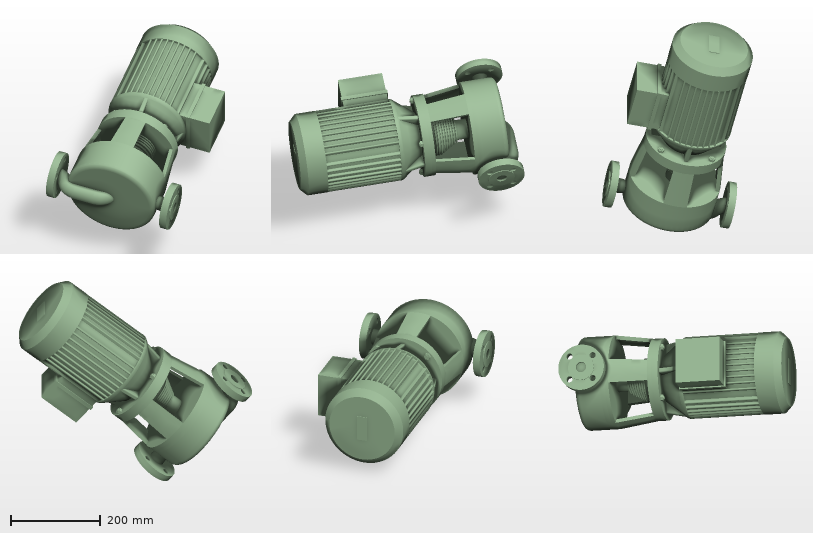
import cadquery as cq
import math


BOSS_TOP = 447.0
CAP_TOP = 445.5
CAP_BOTTOM = 386.0
FRAME_BOTTOM = 218.0
CONE_TOP = 209.0
MOTOR_FLANGE_TOP = 164.0
MOTOR_FLANGE_BOTTOM = 149.5
LANTERN_FLANGE_BOTTOM = 140.0
LANTERN_PLATE_TOP = 53.0
LANTERN_PLATE_BOTTOM = 44.0
COVER_BOTTOM = 33.0
CASING_BOTTOM = -26.0

MOTOR_RADIUS = 92.5
CAP_CHAMFER = 15.0
BOSS_WIDTH = 24.0
BOSS_HEIGHT = 58.0
FRAME_RADIUS = 87.0
FIN_TIP_RADIUS = 92.0
FIN_WIDTH = 4.25
FIN_PITCH = 13.35
FINS_EACH_SIDE = 4
CONE_TOP_RADIUS = 89.5
CONE_BOTTOM_RADIUS = 54.0
RIB_WIDTH = 10.5
RIB_FILLET = 3.0
RIB_BOTTOM_RADIUS = 80.0

BOX_SIZE = 101.0
BOX_SEAT_X = 75.0
BOX_END_X = 148.05
COLLAR_SIZE = 106.5
COLLAR_THICKNESS = 8.5
BOX_CENTRE_Y = FRAME_BOTTOM + BOX_SIZE / 2

BOLT_CIRCLE_RADIUS = 83.0
BOLT_RADIUS = 4.0
NUT_CORNER_DIAMETER = 15.0
NUT_HEIGHT = 6.0
BOLT_TIP_HEIGHT = 8.0

PUMP_RADIUS = 105.1
LEG_THICKNESS = 8.75
LEG_ANGLE = 30.0

NECK_FIN_RADIUS = 50.0
NECK_TAPER_TOP = 118.5
NECK_TAPER_SLOPE = 0.59
NECK_FIN_DEPTH = 5.5
NECK_FIN_PITCH = 6.115
NECK_FIN_THICKNESS = 3.0
NECK_FIN_COUNT = 10
NECK_END_RADIUS = 22.5

CASING_FILLET = 11.0
FLANGE_RADIUS = 52.5
FLANGE_INNER_X = 127.0
FLANGE_OUTER_X = 143.5
RAISED_FACE_X = 144.95
RAISED_FACE_RADIUS = 29.7
BORE_RADIUS = 11.75
BORE_DEPTH = 5.0
FLANGE_HOLE_RADIUS = 7.0
FLANGE_HOLE_CIRCLE_RADIUS = 37.5
NOZZLE_ROOT_RADIUS = 15.5
NOZZLE_FLANGE_RADIUS = 17.7
PIPE_RADIUS = 17.5
PIPE_DROP = 32.0
FLANGE_BEND_RADIUS = 45.0
CASING_BEND_RADIUS = 32.5
PIPE_RUN_END_X = -33.5


def disc(radius, bottom, top):
    """Solid cylinder about the shaft axis between two levels."""
    return cq.Workplane("XZ", origin=(0, top, 0)).circle(radius).extrude(top - bottom)


def turned(profile, angle=360.0):
    """Revolve a closed wire of (radius, level) points about the shaft axis."""
    return profile.close().revolve(angle, (0, 0, 0), (0, 1, 0))


def around_shaft(body, angle):
    return body.rotate((0, 0, 0), (0, 1, 0), angle)


def block(x_start, x_end, y_size, z_size, y_centre):
    """Box between two X positions, centred on y_centre and on Z = 0."""
    shape = cq.Workplane("XY").box(x_end - x_start, y_size, z_size)
    return shape.translate(((x_start + x_end) / 2, y_centre, 0))


def make_fan_cap():
    cap = disc(MOTOR_RADIUS, CAP_BOTTOM, CAP_TOP).faces(">Y").chamfer(CAP_CHAMFER)
    boss_depth = BOSS_TOP - CAP_TOP
    boss = cq.Workplane("XY").box(BOSS_WIDTH, boss_depth, BOSS_HEIGHT)
    return cap.union(boss.translate((0, CAP_TOP + boss_depth / 2, 0)))


def make_fin(offset):
    """Fin pointing to +X at a Z offset, its round tip ending on the fin tip radius."""
    height = CAP_BOTTOM - FRAME_BOTTOM
    tip_centre_x = math.sqrt(FIN_TIP_RADIUS**2 - offset**2) - FIN_WIDTH / 2
    wall = block(0, tip_centre_x, height, FIN_WIDTH, (CAP_BOTTOM + FRAME_BOTTOM) / 2)
    tip = disc(FIN_WIDTH / 2, FRAME_BOTTOM, CAP_BOTTOM).translate((tip_centre_x, 0, 0))
    return wall.union(tip).translate((0, 0, offset))


def make_finned_frame():
    """Barrel with straight parallel fins on its +X, -X, +Z and -Z sides."""
    frame = disc(FRAME_RADIUS, FRAME_BOTTOM, CAP_BOTTOM)
    for index in range(-FINS_EACH_SIDE, FINS_EACH_SIDE + 1):
        fin = make_fin(index * FIN_PITCH)
        for side in range(4):
            frame = frame.union(around_shaft(fin, side * 90))
    return frame


def make_end_shield():
    """Rounded shoulder, cone and mounting flange below the finned frame."""
    drop = FRAME_BOTTOM - CONE_TOP
    cone_angle = math.atan2(CONE_TOP_RADIUS - CONE_BOTTOM_RADIUS, CONE_TOP - MOTOR_FLANGE_TOP)
    shoulder_radius = drop / math.sin(cone_angle)
    shoulder_mid = (
        MOTOR_RADIUS - shoulder_radius * (1 - math.cos(cone_angle / 2)),
        FRAME_BOTTOM - shoulder_radius * math.sin(cone_angle / 2),
    )
    profile = (
        cq.Workplane("XY")
        .moveTo(0, FRAME_BOTTOM)
        .lineTo(MOTOR_RADIUS, FRAME_BOTTOM)
        .threePointArc(shoulder_mid, (CONE_TOP_RADIUS, CONE_TOP))
        .lineTo(CONE_BOTTOM_RADIUS, MOTOR_FLANGE_TOP)
        .lineTo(MOTOR_RADIUS, MOTOR_FLANGE_TOP)
        .lineTo(MOTOR_RADIUS, MOTOR_FLANGE_BOTTOM)
        .lineTo(0, MOTOR_FLANGE_BOTTOM)
    )
    return turned(profile)


def make_shield_rib():
    """Rib standing on the cone on the +X side, with rounded outer edges."""
    rib = (
        cq.Workplane("XY", origin=(0, 0, -RIB_WIDTH / 2))
        .moveTo(0, CONE_TOP)
        .lineTo(CONE_TOP_RADIUS, CONE_TOP)
        .lineTo(RIB_BOTTOM_RADIUS, MOTOR_FLANGE_TOP)
        .lineTo(0, MOTOR_FLANGE_TOP)
        .close()
        .extrude(RIB_WIDTH)
    )
    slanted_edges = cq.selectors.BoxSelector(
        (RIB_BOTTOM_RADIUS, MOTOR_FLANGE_TOP, -RIB_WIDTH), (CONE_TOP_RADIUS, CONE_TOP, RIB_WIDTH)
    )
    return rib.edges(slanted_edges).edges("not |Z").fillet(RIB_FILLET)


def make_motor(terminal_box, bolts):
    motor = make_finned_frame().union(make_end_shield())
    rib = make_shield_rib()
    for side in range(4):
        motor = motor.union(around_shaft(rib, side * 90))
    motor = motor.cut(terminal_box)
    for bolt in bolts:
        motor = motor.cut(bolt)
    return motor


def make_terminal_box():
    box = block(BOX_SEAT_X, BOX_END_X, BOX_SIZE, BOX_SIZE, BOX_CENTRE_Y)
    collar_end = MOTOR_RADIUS + COLLAR_THICKNESS
    collar = block(MOTOR_RADIUS, collar_end, COLLAR_SIZE, COLLAR_SIZE, BOX_CENTRE_Y)
    return box.union(collar)


def make_bolt(angle):
    """Stud through the motor flange with a hexagonal nut on top."""
    stud = disc(BOLT_RADIUS, MOTOR_FLANGE_BOTTOM, MOTOR_FLANGE_TOP + BOLT_TIP_HEIGHT)
    nut = (
        cq.Workplane("XZ", origin=(0, MOTOR_FLANGE_TOP + NUT_HEIGHT, 0))
        .polygon(6, NUT_CORNER_DIAMETER)
        .extrude(NUT_HEIGHT)
    )
    x = BOLT_CIRCLE_RADIUS * math.cos(math.radians(angle))
    z = BOLT_CIRCLE_RADIUS * math.sin(math.radians(angle))
    return stud.union(nut).translate((x, 0, z))


def make_lantern_leg():
    """Slanted strip of a cone wall, centred on the +X side."""
    profile = (
        cq.Workplane("XY")
        .moveTo(MOTOR_RADIUS, LANTERN_FLANGE_BOTTOM)
        .lineTo(PUMP_RADIUS, LANTERN_PLATE_TOP)
        .lineTo(PUMP_RADIUS - LEG_THICKNESS, LANTERN_PLATE_TOP)
        .lineTo(MOTOR_RADIUS - LEG_THICKNESS, LANTERN_FLANGE_BOTTOM)
    )
    return around_shaft(turned(profile, LEG_ANGLE), -LEG_ANGLE / 2)


def make_lantern():
    lantern = disc(MOTOR_RADIUS, LANTERN_FLANGE_BOTTOM, MOTOR_FLANGE_BOTTOM)
    plate = disc(PUMP_RADIUS, LANTERN_PLATE_BOTTOM, LANTERN_PLATE_TOP)
    neck_hole = disc(NECK_END_RADIUS, LANTERN_PLATE_BOTTOM, LANTERN_PLATE_TOP)
    lantern = lantern.union(plate.cut(neck_hole))
    leg = make_lantern_leg()
    for side in range(4):
        lantern = lantern.union(around_shaft(leg, side * 90))
    return lantern


def neck_outer_radius(level):
    """Outer radius of the neck fins: straight at the top, tapering below."""
    return NECK_FIN_RADIUS - NECK_TAPER_SLOPE * max(0, NECK_TAPER_TOP - level)


def make_cover():
    """Pump cover plate whose finned neck reaches up to the lantern flange."""
    core_radius = NECK_FIN_RADIUS - NECK_FIN_DEPTH
    taper_bottom = NECK_TAPER_TOP - (core_radius - NECK_END_RADIUS) / NECK_TAPER_SLOPE
    profile = (
        cq.Workplane("XY")
        .moveTo(0, LANTERN_FLANGE_BOTTOM)
        .lineTo(core_radius, LANTERN_FLANGE_BOTTOM)
        .lineTo(core_radius, NECK_TAPER_TOP)
        .lineTo(NECK_END_RADIUS, taper_bottom)
        .lineTo(NECK_END_RADIUS, LANTERN_PLATE_BOTTOM)
        .lineTo(PUMP_RADIUS, LANTERN_PLATE_BOTTOM)
        .lineTo(PUMP_RADIUS, COVER_BOTTOM)
        .lineTo(0, COVER_BOTTOM)
    )
    cover = turned(profile)
    for index in range(NECK_FIN_COUNT):
        fin_top = LANTERN_FLANGE_BOTTOM - NECK_FIN_THICKNESS - index * NECK_FIN_PITCH
        fin_bottom = fin_top - NECK_FIN_THICKNESS
        fin = (
            cq.Workplane("XY")
            .moveTo(0, fin_top)
            .lineTo(neck_outer_radius(fin_top), fin_top)
            .lineTo(neck_outer_radius(fin_bottom), fin_bottom)
            .lineTo(0, fin_bottom)
        )
        cover = cover.union(turned(fin))
    return cover


def make_pipe_flange():
    """Flange facing +X, with a raised face and four bolt holes."""
    flange = (
        cq.Workplane("YZ", origin=(FLANGE_INNER_X, 0, 0))
        .circle(FLANGE_RADIUS)
        .extrude(FLANGE_OUTER_X - FLANGE_INNER_X)
    )
    raised_face = (
        cq.Workplane("YZ", origin=(FLANGE_INNER_X, 0, 0))
        .circle(RAISED_FACE_RADIUS)
        .extrude(RAISED_FACE_X - FLANGE_INNER_X)
    )
    holes = (
        cq.Workplane("YZ", origin=(FLANGE_INNER_X, 0, 0))
        .polarArray(FLANGE_HOLE_CIRCLE_RADIUS, 45, 360, 4)
        .circle(FLANGE_HOLE_RADIUS)
        .extrude(FLANGE_OUTER_X - FLANGE_INNER_X)
    )
    return flange.union(raised_face).cut(holes)


def make_bore():
    return (
        cq.Workplane("YZ", origin=(RAISED_FACE_X - BORE_DEPTH, 0, 0))
        .circle(BORE_RADIUS)
        .extrude(BORE_DEPTH)
    )


def make_nozzle():
    """Straight pipe from the casing that widens towards the +X flange."""
    profile = (
        cq.Workplane("XY")
        .lineTo(0, NOZZLE_ROOT_RADIUS)
        .lineTo(PUMP_RADIUS, NOZZLE_ROOT_RADIUS)
        .lineTo(FLANGE_INNER_X, NOZZLE_FLANGE_RADIUS)
        .lineTo(FLANGE_INNER_X, 0)
        .close()
    )
    return profile.revolve(360, (0, 0, 0), (1, 0, 0))


def make_bent_pipe():
    """Pipe from the -X flange, S-bent below the casing and turned up into its end face."""
    start_x = -FLANGE_OUTER_X
    radius_sum = FLANGE_BEND_RADIUS + CASING_BEND_RADIUS
    bend = math.acos(1 - PIPE_DROP / radius_sum)
    run_start_x = start_x + radius_sum * math.sin(bend)

    def first_bend(angle):
        return (
            start_x + FLANGE_BEND_RADIUS * math.sin(angle),
            -FLANGE_BEND_RADIUS * (1 - math.cos(angle)),
        )

    def second_bend(angle):
        return (
            run_start_x - CASING_BEND_RADIUS * math.sin(angle),
            -PIPE_DROP + CASING_BEND_RADIUS * (1 - math.cos(angle)),
        )

    half_diagonal = CASING_BEND_RADIUS / math.sqrt(2)
    turn_up_centre_y = CASING_BEND_RADIUS - PIPE_DROP
    path = (
        cq.Workplane("XY")
        .moveTo(start_x, 0)
        .threePointArc(first_bend(bend / 2), first_bend(bend))
        .threePointArc(second_bend(bend / 2), (run_start_x, -PIPE_DROP))
        .lineTo(PIPE_RUN_END_X, -PIPE_DROP)
        .threePointArc(
            (PIPE_RUN_END_X + half_diagonal, turn_up_centre_y - half_diagonal),
            (PIPE_RUN_END_X + CASING_BEND_RADIUS, turn_up_centre_y),
        )
    )
    return cq.Workplane("YZ", origin=(start_x, 0, 0)).circle(PIPE_RADIUS).sweep(path)


def make_casing():
    casing = disc(PUMP_RADIUS, CASING_BOTTOM, COVER_BOTTOM).faces("<Y").edges().fillet(CASING_FILLET)
    casing = casing.union(make_nozzle()).union(make_bent_pipe())
    flange = make_pipe_flange()
    bore = make_bore()
    for side in range(2):
        casing = casing.union(around_shaft(flange, side * 180)).cut(around_shaft(bore, side * 180))
    return casing


fan_cap = make_fan_cap()
terminal_box = make_terminal_box()
bolts = [make_bolt(45 + 90 * index) for index in range(4)]
motor = make_motor(terminal_box, bolts)
lantern = make_lantern()
cover = make_cover()
casing = make_casing()

result = cq.Compound.makeCompound(
    [
        fan_cap.val(),
        motor.val(),
        terminal_box.val(),
        *[bolt.val() for bolt in bolts],
        lantern.val(),
        cover.val(),
        casing.val(),
    ]
)